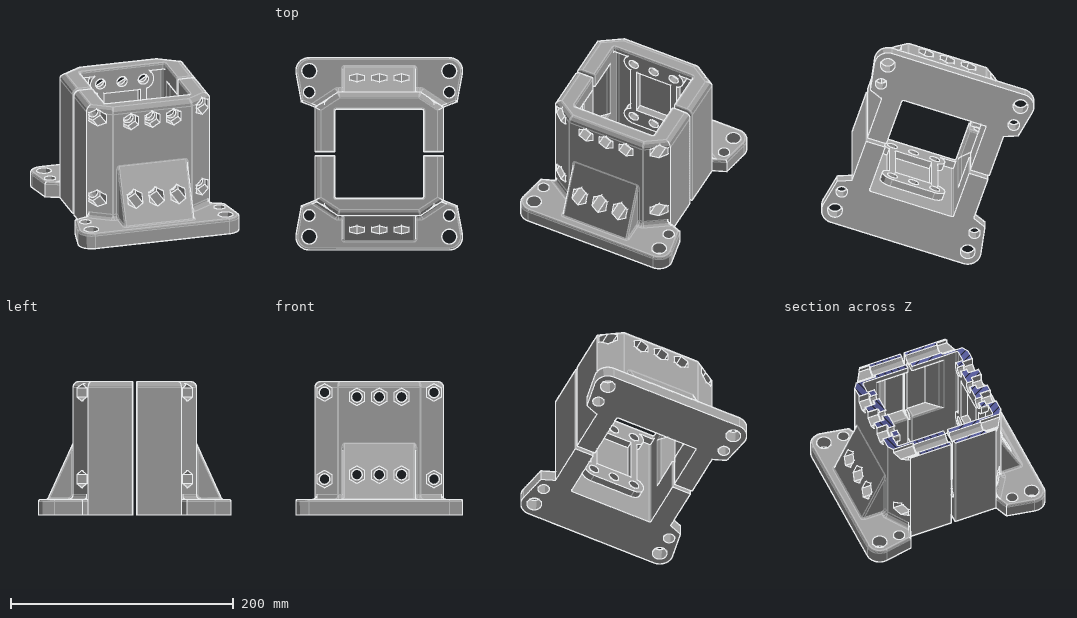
import cadquery as cq
import math

HEIGHT = 120.0
BORE_WIDTH = 79.5
SPLIT_GAP = 3.5
EDGE_RADIUS = 1.4
SPLIT_RADIUS = 0.7

WALL_HALF_X = 57.8
WALL_HALF_Y = 55.5
FRONT_HALF_WIDTH = 37.0
SIDE_END_Y = 41.9
WALL_TOP_RADIUS = 5.4
FRONT_CORNER_RADIUS = 1.4

FOOT_WIDTH = 150.0
FOOT_HALF_Y = 86.5
FOOT_THICKNESS = 14.2
FOOT_CORNER_RADIUS = 12.1
WAIST_X = 70.0
WAIST_Y = 46.7
FOOT_EDGE_RADIUS = 1.9
FOOT_TO_WALL_RADIUS = 4.2

LARGE_HOLE_DIAMETER = 13.1
SMALL_HOLE_DIAMETER = 10.2
SMALL_HOLE_Y = 55.4

WEDGE_HALF_WIDTH = 32.5
WEDGE_TOP_Z = 64.5
WEDGE_TOE_Y = 78.4

BOLT_MID_Z = 71.3
BOLT_DIAMETER = 9.3
NUT_FLATS = 13.7
WALL_BOLT_PITCH = 20.0
WALL_BOLT_RISE = 35.0
WALL_NUT_SEAT_Y = 45.8
CLAMP_BOLT_X = 49.1
CLAMP_BOLT_RISE = 39.0
CLAMP_NUT_SEAT_Y = 32.9

RELIEF_DEPTH = 6.7
RELIEF_TOP_Z = 114.0
PAD_RADIUS = 9.5
RIB_INNER_X = 17.1
RIB_WIDTH = 5.9

POCKET_DEPTH = 11.0
POCKET_RISE = 32.2
POCKET_MOUTH_Y = 30.6
POCKET_MOUTH_RADIUS = 5.9

BORE_HALF = BORE_WIDTH / 2
SPLIT_Y = -SPLIT_GAP / 2
RELIEF_FLOOR_Y = BORE_HALF + RELIEF_DEPTH
FOOT_HALF_X = FOOT_WIDTH / 2
FOOT_CORNER_X = FOOT_HALF_X - FOOT_CORNER_RADIUS
FOOT_CORNER_Y = FOOT_HALF_Y - FOOT_CORNER_RADIUS
WALL_BOLT_ROWS = [BOLT_MID_Z - WALL_BOLT_RISE, BOLT_MID_Z + WALL_BOLT_RISE]
CLAMP_BOLT_ROWS = [BOLT_MID_Z - CLAMP_BOLT_RISE, BOLT_MID_Z + CLAMP_BOLT_RISE]
NUT_CORNERS = NUT_FLATS / math.cos(math.pi / 6)

NEAR = 0.3
INSET = 1.7
END_CLEARANCE = 8.6
OVERSHOOT = 8.6


def box_between(x_range, y_range, z_range):
    """Solid box that spans three ranges."""
    sizes = [high - low for low, high in (x_range, y_range, z_range)]
    return cq.Workplane("XY").box(*sizes, centered=False).translate((x_range[0], y_range[0], z_range[0]))


def edges_in(x_range, y_range, z_range):
    """Selector for edges whose centre lies inside three ranges."""
    ranges = (x_range, y_range, z_range)
    return cq.selectors.BoxSelector([low for low, _ in ranges], [high for _, high in ranges])


def around(value):
    """Narrow range centred on a value."""
    return (value - NEAR, value + NEAR)


def wall():
    """Half octagon with rounded front corners and top edge, still without its bore."""
    outline = [
        (-WALL_HALF_X, SPLIT_Y), (-WALL_HALF_X, -SIDE_END_Y), (-FRONT_HALF_WIDTH, -WALL_HALF_Y),
        (FRONT_HALF_WIDTH, -WALL_HALF_Y), (WALL_HALF_X, -SIDE_END_Y), (WALL_HALF_X, SPLIT_Y),
    ]
    body = cq.Workplane("XY").polyline(outline).close().extrude(HEIGHT)
    front_corners = edges_in((-WALL_HALF_X, WALL_HALF_X), around(-WALL_HALF_Y), (0, HEIGHT))
    body = body.edges("|Z").edges(front_corners).fillet(FRONT_CORNER_RADIUS)
    return body.faces(">Z").edges("not >Y").fillet(WALL_TOP_RADIUS)


def foot():
    """Flat plate whose sides run from the wall out to the waist and then tangent to the round corners."""
    waist_dx = WAIST_X - FOOT_CORNER_X
    waist_dy = FOOT_CORNER_Y - WAIST_Y
    tangent_angle = math.atan2(waist_dy, waist_dx) - math.acos(
        FOOT_CORNER_RADIUS / math.hypot(waist_dx, waist_dy))

    def corner_point(angle):
        return (FOOT_CORNER_X + FOOT_CORNER_RADIUS * math.cos(angle),
                -FOOT_CORNER_Y + FOOT_CORNER_RADIUS * math.sin(angle))

    half = (
        cq.Workplane("XY").moveTo(0, -SIDE_END_Y).lineTo(0, -FOOT_HALF_Y)
        .lineTo(FOOT_CORNER_X, -FOOT_HALF_Y)
        .threePointArc(corner_point((tangent_angle - math.pi / 2) / 2), corner_point(tangent_angle))
        .lineTo(WAIST_X, -WAIST_Y).lineTo(WALL_HALF_X, -SIDE_END_Y)
        .close().extrude(FOOT_THICKNESS)
    )
    return half.union(half.mirror("YZ")).clean()


def wall_on_foot():
    """Wall and foot with a round outer rim, joined by a concave fillet that ends at the rim."""
    plate = foot().faces(">Z").edges("not >Y").fillet(FOOT_EDGE_RADIUS)
    wide_plate = box_between(
        (-FOOT_HALF_X, FOOT_HALF_X), (-FOOT_HALF_Y, -SIDE_END_Y), (0, FOOT_THICKNESS))
    wall_base = edges_in(
        (-WALL_HALF_X, WALL_HALF_X), (-WALL_HALF_Y - NEAR, -SIDE_END_Y - NEAR), around(FOOT_THICKNESS))
    joint = wall().union(wide_plate).edges(wall_base).fillet(FOOT_TO_WALL_RADIUS)
    above_foot = plate.faces(">Z").wires().toPending().extrude(FOOT_TO_WALL_RADIUS, combine=False)
    return wall().union(plate).union(joint.intersect(above_foot)).clean()


def add_wedge(body):
    """Brace with round sloped edges and a small fillet where it meets the wall and the foot."""
    profile = [
        (-WEDGE_TOE_Y, FOOT_THICKNESS), (-WALL_HALF_Y, WEDGE_TOP_Z),
        (-RELIEF_FLOOR_Y, WEDGE_TOP_Z), (-RELIEF_FLOOR_Y, FOOT_THICKNESS / 2),
        (-WEDGE_TOE_Y, FOOT_THICKNESS / 2),
    ]
    wedge = cq.Workplane("YZ").polyline(profile).close().extrude(WEDGE_HALF_WIDTH, both=True)
    body = body.union(wedge)
    wedge_x = (-WEDGE_HALF_WIDTH - NEAR, WEDGE_HALF_WIDTH + NEAR)
    slope_edges = edges_in(
        wedge_x, (-WEDGE_TOE_Y + INSET, -WALL_HALF_Y - INSET),
        (FOOT_THICKNESS + END_CLEARANCE, WEDGE_TOP_Z))
    body = body.edges(slope_edges).fillet(EDGE_RADIUS)
    foot_joint = edges_in(wedge_x, (-WEDGE_TOE_Y - NEAR, -WALL_HALF_Y - INSET), around(FOOT_THICKNESS))
    wall_joint = edges_in(
        wedge_x, around(-WALL_HALF_Y), (FOOT_THICKNESS + END_CLEARANCE, WEDGE_TOP_Z - END_CLEARANCE))
    side_joints = body.edges(foot_joint).add(body.edges(wall_joint).edges("|Z"))
    return side_joints.fillet(EDGE_RADIUS)


def cut_bore(body):
    """Tube opening with round corners, a round top edge and softened split edges."""
    bore = box_between((-BORE_HALF, BORE_HALF), (-BORE_HALF, OVERSHOOT), (-OVERSHOOT, HEIGHT + OVERSHOOT))
    body = body.cut(bore.edges("|Z and <Y").fillet(EDGE_RADIUS))
    bore_x = (-BORE_HALF - NEAR, BORE_HALF + NEAR)
    bore_rim = edges_in(bore_x, (-BORE_HALF - NEAR, SPLIT_Y - NEAR), around(HEIGHT))
    body = body.edges(bore_rim).fillet(EDGE_RADIUS)
    return body.faces(">Y").edges("not <Z").fillet(SPLIT_RADIUS)


def cut_relief(body):
    """Shallow recess behind the bore face of the front wall, open at the bottom."""
    y_range = (-RELIEF_FLOOR_Y, -BORE_HALF)
    y_past_bore_corner = (-RELIEF_FLOOR_Y, -BORE_HALF + EDGE_RADIUS)
    relief = box_between((-BORE_HALF, BORE_HALF), y_past_bore_corner, (-OVERSHOOT, RELIEF_TOP_Z))
    relief = relief.edges("|Z and <Y").fillet(EDGE_RADIUS)
    kept = cq.Workplane("XZ", origin=(0, -BORE_HALF, 0))
    kept = kept.pushPoints([(0, z) for z in WALL_BOLT_ROWS])
    kept = kept.slot2D(2 * (WALL_BOLT_PITCH + PAD_RADIUS), 2 * PAD_RADIUS).extrude(RELIEF_DEPTH)
    for rib_x in (-RIB_INNER_X - RIB_WIDTH, RIB_INNER_X):
        kept = kept.union(box_between((rib_x, rib_x + RIB_WIDTH), y_range, WALL_BOLT_ROWS))
    return body.cut(relief.cut(kept))


def cut_side_pockets(body):
    """Recess inside each side wall that runs out through the split face."""
    outer_x = BORE_HALF + POCKET_DEPTH
    inner_x = BORE_HALF - OVERSHOOT
    half_turn = math.pi / 8
    tangent = POCKET_MOUTH_RADIUS * math.tan(half_turn)
    tangent_leg = tangent / math.sqrt(2)
    arc_start_y = -POCKET_MOUTH_Y - tangent
    arc_middle = (BORE_HALF + POCKET_MOUTH_RADIUS * (1 - math.cos(half_turn)),
                  arc_start_y + POCKET_MOUTH_RADIUS * math.sin(half_turn))
    arc_end = (BORE_HALF + tangent_leg, -POCKET_MOUTH_Y + tangent_leg)
    pocket = (
        cq.Workplane("XY", origin=(0, 0, BOLT_MID_Z - POCKET_RISE))
        .moveTo(inner_x, arc_start_y).lineTo(BORE_HALF, arc_start_y)
        .threePointArc(arc_middle, arc_end)
        .lineTo(outer_x, -POCKET_MOUTH_Y + POCKET_DEPTH).lineTo(outer_x, OVERSHOOT)
        .lineTo(inner_x, OVERSHOOT).close().extrude(2 * POCKET_RISE)
    )
    body = body.cut(pocket).cut(pocket.mirror("YZ"))
    pocket_z = (BOLT_MID_Z - POCKET_RISE - NEAR, BOLT_MID_Z + POCKET_RISE + NEAR)
    for side_x in (-BORE_HALF, BORE_HALF):
        mouth_edges = edges_in(around(side_x), (-POCKET_MOUTH_Y, SPLIT_Y), pocket_z)
        body = body.edges(mouth_edges).edges("|Y").fillet(EDGE_RADIUS)
    return body


def cut_bolts(body, bolt_xs, rows, nut_seat_y):
    """Round bolt holes along Y, each with a hexagonal nut pocket from the outside up to its seat."""
    places = [(x, z) for x in bolt_xs for z in rows]
    shanks = cq.Workplane("XZ").pushPoints(places).circle(BOLT_DIAMETER / 2).extrude(nut_seat_y + OVERSHOOT)
    for x, z in places:
        nut = cq.Workplane("XZ", origin=(x, -nut_seat_y, z)).polygon(6, NUT_CORNERS)
        nut = nut.extrude(FOOT_HALF_Y - nut_seat_y)
        body = body.cut(nut.rotate((x, 0, z), (x, 1, z), 360 / 12))
    return body.cut(shanks)


def cut_foot_holes(body):
    """Plain vertical holes on both sides of the foot."""
    for y, diameter in ((FOOT_CORNER_Y, LARGE_HOLE_DIAMETER), (SMALL_HOLE_Y, SMALL_HOLE_DIAMETER)):
        places = [(-FOOT_CORNER_X, -y), (FOOT_CORNER_X, -y)]
        holes = cq.Workplane("XY").pushPoints(places).circle(diameter / 2)
        body = body.cut(holes.extrude(FOOT_THICKNESS + OVERSHOOT))
    return body


def clamp_half():
    """One complete half of the clamp, on the -Y side."""
    body = add_wedge(wall_on_foot())
    body = cut_bore(body)
    body = cut_relief(body)
    body = cut_side_pockets(body)
    wall_bolt_xs = (-WALL_BOLT_PITCH, 0, WALL_BOLT_PITCH)
    body = cut_bolts(body, wall_bolt_xs, WALL_BOLT_ROWS, WALL_NUT_SEAT_Y)
    body = cut_bolts(body, (-CLAMP_BOLT_X, CLAMP_BOLT_X), CLAMP_BOLT_ROWS, CLAMP_NUT_SEAT_Y)
    return cut_foot_holes(body)


clamp_halves = []
for turn in (0, 180):
    clamp_halves.append(clamp_half().rotate((0, 0, 0), (0, 0, 1), turn).val())

result = cq.Compound.makeCompound(clamp_halves)